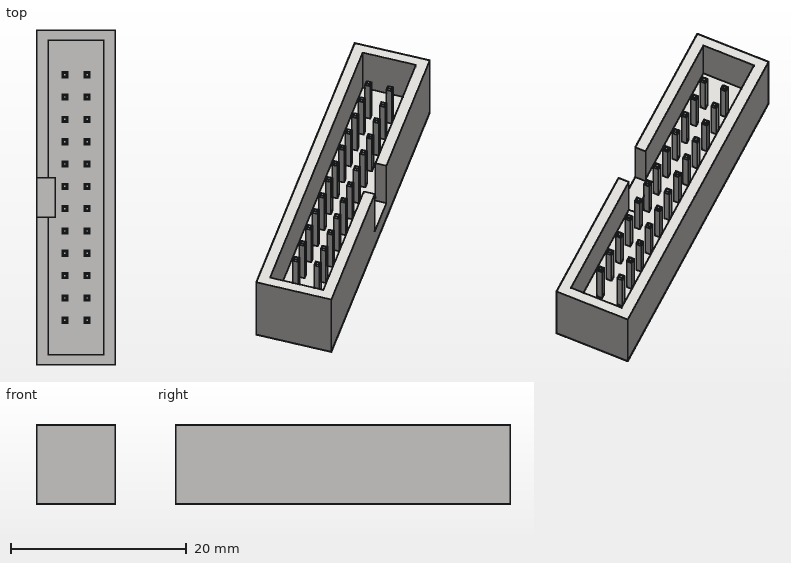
import cadquery as cq


HOUSING_WIDTH = 8.95
HOUSING_LENGTH = 38.1
HOUSING_HEIGHT = 9.0

SIDE_WALL = 1.3
END_WALL = 1.14
FLOOR_THICKNESS = 3.0
CAVITY_WIDTH = HOUSING_WIDTH - 2 * SIDE_WALL
CAVITY_LENGTH = HOUSING_LENGTH - 2 * END_WALL
CAVITY_DEPTH = HOUSING_HEIGHT - FLOOR_THICKNESS

NOTCH_LENGTH = 4.5
NOTCH_REACH = 2.1
NOTCH_STEP = 0.4
NOTCH_DEPTH = CAVITY_DEPTH + NOTCH_STEP

PITCH = 2.54
ROWS = 2
PINS_PER_ROW = 12
PIN_SIZE = 0.64
PIN_TIP_BELOW_RIM = 0.3
PIN_CHAMFER = PIN_SIZE / 4
PIN_HEIGHT = CAVITY_DEPTH - PIN_TIP_BELOW_RIM


def make_housing():
    """Rectangular box with the cavity opened from its top."""
    box = cq.Workplane("XY").box(
        HOUSING_WIDTH, HOUSING_LENGTH, HOUSING_HEIGHT, centered=(True, True, False)
    )
    return box.faces(">Z").workplane().rect(CAVITY_WIDTH, CAVITY_LENGTH).cutBlind(-CAVITY_DEPTH)


def make_notch():
    """Block removed from the middle of the -X wall, open at the top."""
    return (
        cq.Workplane("XY")
        .box(NOTCH_REACH, NOTCH_LENGTH, NOTCH_DEPTH, centered=(False, True, False))
        .translate((-HOUSING_WIDTH / 2, 0, HOUSING_HEIGHT - NOTCH_DEPTH))
    )


def make_pins():
    """Grid of square pins standing on the cavity floor, with chamfered tips."""
    return (
        cq.Workplane("XY", origin=(0, 0, FLOOR_THICKNESS))
        .rarray(PITCH, PITCH, ROWS, PINS_PER_ROW)
        .rect(PIN_SIZE, PIN_SIZE)
        .extrude(PIN_HEIGHT)
        .faces(">Z")
        .edges()
        .chamfer(PIN_CHAMFER)
    )


result = make_housing().cut(make_notch()).union(make_pins())